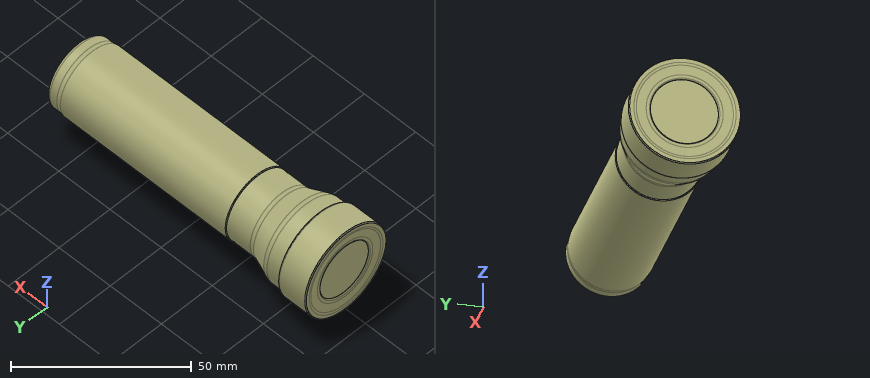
import cadquery as cq
import math

length = 105.0

cap_radius = 32.0 / 2
cap_length = 10.8
cap_front_chamfer = 0.3
cap_rear_fillet = 0.5
rim_inner_radius = 14.5
dish_outer_radius = 13.8
dish_inner_radius = 10.9
window_radius = 9.7
rim_bevel_depth = 0.2
dish_angle = 5.0
dish_depth = rim_bevel_depth + (dish_outer_radius - dish_inner_radius) * math.tan(math.radians(dish_angle))
lip_radius = 0.3
lip_start_radius = window_radius + lip_radius
lip_depth = dish_depth + lip_radius
seat_depth = 0.9

collar_radius = 30.2 / 2
neck_radius = 24.5 / 2
grip_radius = 25.0 / 2
collar_end = 16.0
shoulder_start = 17.5
shoulder_end = 23.8
neck_start = 25.4
shoulder_blend = neck_start - shoulder_end
grip_start = 34.6
grip_chamfer = grip_radius - neck_radius
grip_end = 99.4
tail_start = 101.0
tail_fillet = 1.3
blend_slope = (collar_radius - neck_radius) / (
    (shoulder_end + neck_start) / 2 - (collar_end + shoulder_start) / 2
)
shoulder_angle = math.atan(blend_slope)


def blend_drop(run, angle):
    """Radial change of an arc that turns from axial to the given angle over an axial run."""
    return run * math.tan(angle / 2)


def revolve_about_x(profile):
    """Turn a closed (X, radius) profile around the X axis."""
    return profile.close().revolve(360, (0, 0, 0), (1, 0, 0))


def make_cap():
    """Ring with a dished front, a rounded window bore and a socket for the collar."""
    lip_mid = lip_radius * math.sqrt(0.5)
    profile = (
        cq.Workplane("XY")
        .moveTo(seat_depth, window_radius)
        .lineTo(lip_depth, window_radius)
        .threePointArc(
            (lip_depth - lip_mid, lip_start_radius - lip_mid),
            (dish_depth, lip_start_radius),
        )
        .lineTo(dish_depth, dish_inner_radius)
        .lineTo(rim_bevel_depth, dish_outer_radius)
        .lineTo(0, rim_inner_radius)
        .lineTo(0, cap_radius - cap_front_chamfer)
        .lineTo(cap_front_chamfer, cap_radius)
        .lineTo(cap_length - cap_rear_fillet, cap_radius)
        .radiusArc((cap_length, cap_radius - cap_rear_fillet), cap_rear_fillet)
        .lineTo(cap_length, collar_radius)
        .lineTo(seat_depth, collar_radius)
    )
    return revolve_about_x(profile)


def make_body():
    """Turned body: collar, blended conical shoulder, neck, grip and rounded tail."""
    collar_run = shoulder_start - collar_end
    collar_blend_radius = collar_run / math.sin(shoulder_angle)
    neck_blend_radius = shoulder_blend / math.sin(shoulder_angle)
    profile = (
        cq.Workplane("XY")
        .moveTo(seat_depth, 0)
        .lineTo(seat_depth, collar_radius)
        .lineTo(collar_end, collar_radius)
        .radiusArc(
            (shoulder_start, collar_radius - blend_drop(collar_run, shoulder_angle)),
            collar_blend_radius,
        )
        .lineTo(shoulder_end, neck_radius + blend_drop(shoulder_blend, shoulder_angle))
        .radiusArc((neck_start, neck_radius), -neck_blend_radius)
        .lineTo(grip_start, neck_radius)
        .lineTo(grip_start + grip_chamfer, grip_radius)
        .lineTo(grip_end, grip_radius)
        .lineTo(tail_start, neck_radius)
        .lineTo(length - tail_fillet, neck_radius)
        .radiusArc((length, neck_radius - tail_fillet), tail_fillet)
        .lineTo(length, 0)
    )
    return revolve_about_x(profile)


cap = make_cap()
body = make_body()
result = cq.Compound.makeCompound([cap.val(), body.val()])